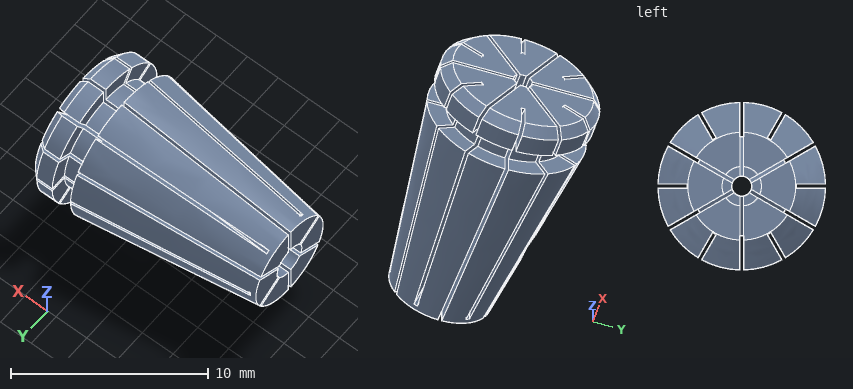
import cadquery as cq
import math

length = 13.5
body_radius = 4.25
taper_angle = 8.0

collar_length = 1.5
groove_width = 1.19
groove_radius = 3.25
chamfer_size = 0.5

nose_bore_radius = 1.0
nose_bore_depth = 2.7
tail_bore_radius = 0.5

slots_per_end = 6
slot_width = 0.2
slot_clearance = 0.27
nose_slot_exit_radius = 2.51
nose_slot_blade_radius = 20.25
tail_slot_start = 0.3
tail_slot_blade_radius = 27.0

collar_start = length - collar_length
taper_length = collar_start - groove_width
taper_slope = math.tan(math.radians(taper_angle))
nose_radius = body_radius - taper_length * taper_slope


def turned_body():
    """Solid of revolution: taper, groove and chamfered collar."""
    outline = [
        (0, 0),
        (0, nose_radius),
        (taper_length, body_radius),
        (taper_length, groove_radius),
        (collar_start, groove_radius),
        (collar_start, body_radius),
        (length - chamfer_size, body_radius),
        (length, body_radius - chamfer_size),
        (length, 0),
    ]
    return cq.Workplane("XY").polyline(outline).close().revolve(360, (0, 0, 0), (1, 0, 0))


def bore(radius, depth):
    """Cylinder along X from the nose face."""
    return cq.Workplane("YZ").circle(radius).extrude(depth)


def saw_slot(open_x, shallow_x, shallow_radius, blade_radius):
    """Slot on the +Z side, running from open_x to a concave floor that rises to shallow_x.

    The floor follows the rim of the saw blade: it is tangent to the body axis at
    root_x and reaches shallow_radius at shallow_x.
    """
    sweep = math.acos(1 - shallow_radius / blade_radius)
    toward_open = math.copysign(1, open_x - shallow_x)
    root_x = shallow_x + toward_open * blade_radius * math.sin(sweep)
    middle_x = root_x - toward_open * blade_radius * math.sin(sweep / 2)
    middle_radius = blade_radius * (1 - math.cos(sweep / 2))
    outside_radius = body_radius + slot_clearance
    return (
        cq.Workplane("XZ")
        .moveTo(open_x, 0)
        .lineTo(root_x, 0)
        .threePointArc((middle_x, middle_radius), (shallow_x, shallow_radius))
        .lineTo(shallow_x, outside_radius)
        .lineTo(open_x, outside_radius)
        .close()
        .extrude(slot_width / 2, both=True)
    )


def rotated(shape, angle):
    """Shape turned about the body axis."""
    return shape.rotate((0, 0, 0), (1, 0, 0), angle)


nose_slot = saw_slot(0, length, nose_slot_exit_radius, nose_slot_blade_radius)
tail_slot_start_radius = nose_radius + tail_slot_start * taper_slope
tail_slot = saw_slot(length, tail_slot_start, tail_slot_start_radius, tail_slot_blade_radius)

result = turned_body()
result = result.cut(bore(nose_bore_radius, nose_bore_depth))
result = result.cut(bore(tail_bore_radius, length))

slot_pitch = 360 / slots_per_end
for index in range(slots_per_end):
    nose_slot_angle = index * slot_pitch
    tail_slot_angle = nose_slot_angle + slot_pitch / 2
    result = result.cut(rotated(nose_slot, nose_slot_angle))
    result = result.cut(rotated(tail_slot, tail_slot_angle))